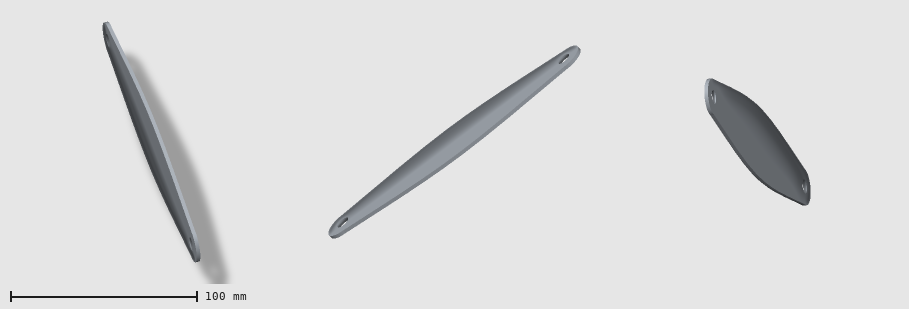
import cadquery as cq
import math

length = 173.2
height = 40.0
thickness = 2.0
end_radius = 10.0
hole_diameter = 7.5
end_slope_angle = 9.5

half_length = length / 2
half_height = height / 2
hole_x = half_length - end_radius
slope_x = math.cos(math.radians(end_slope_angle))
slope_z = math.sin(math.radians(end_slope_angle))

outline = (
    cq.Workplane("XZ")
    .moveTo(-hole_x, end_radius)
    .spline(
        [(0, half_height), (hole_x, end_radius)],
        tangents=[(slope_x, slope_z), (slope_x, -slope_z)],
        includeCurrent=True,
    )
    .threePointArc((half_length, 0), (hole_x, -end_radius))
    .spline(
        [(0, -half_height), (-hole_x, -end_radius)],
        tangents=[(-slope_x, -slope_z), (-slope_x, slope_z)],
        includeCurrent=True,
    )
    .threePointArc((-half_length, 0), (-hole_x, end_radius))
    .close()
)

plate = outline.extrude(thickness / 2, both=True)

holes = (
    cq.Workplane("XZ")
    .pushPoints([(-hole_x, 0), (hole_x, 0)])
    .circle(hole_diameter / 2)
    .extrude(thickness, both=True)
)

result = plate.cut(holes)